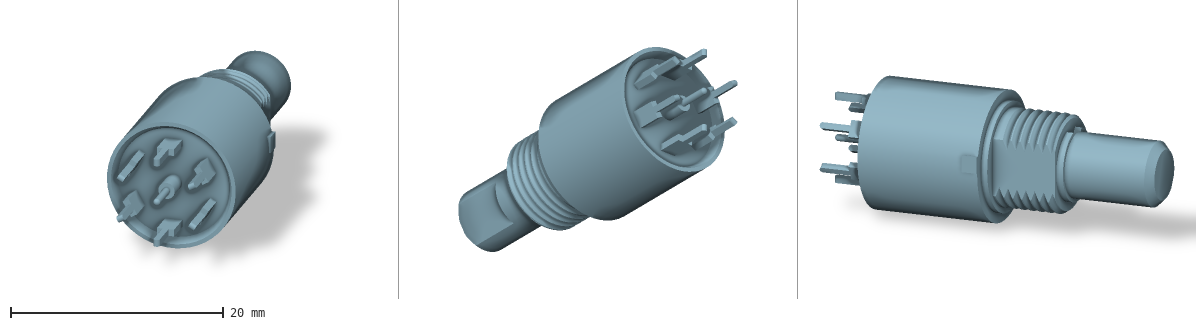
import cadquery as cq
import math


overall_length = 33.6

housing_radius = 6.35
housing_length = 12.23
recess_mouth_radius = 5.95
recess_floor_radius = 5.48
recess_depth = 0.77

tab_reach = 6.5
tab_height = 1.6
tab_length = 1.55
tab_embed = 0.67
tab_root = housing_radius - tab_embed

collar_radius = 5.35
collar_length = 0.6
bushing_radius = 4.77
bushing_length = 6.3
bushing_flat_distance = 3.85
bushing_chamfer = 0.35
bushing_front = collar_length + bushing_length

thread_pitch = 0.9
thread_depth = 0.47
thread_crest_width = 0.15
thread_start = 1.15
groove_overrun = 0.05
groove_turns = math.ceil((bushing_front - thread_start) / thread_pitch) + 1
blank_length = thread_start + (groove_turns + 1) * thread_pitch

ring_radius = 3.55
ring_thickness = 0.67
ring_gap_outer = 2.0
ring_gap_inner = 0.95
ring_groove_radius = 2.62

shaft_diameter = 6.35
shaft_radius = shaft_diameter / 2
shaft_exposed_length = 8.87
shaft_chamfer = 0.75
shaft_flat_distance = 2.35
shaft_flat_length = 6.3
shaft_flat_angle = 30
shaft_tip = bushing_front + ring_thickness + shaft_exposed_length

terminal_count = 6
terminal_circle_radius = 4.05
terminal_thickness = 0.67
blade_width = 1.68
blade_length = 1.85
terminal_tip_width = 0.6
terminal_reach = overall_length - housing_length - shaft_tip
terminal_tip_rise = 0.25

pin_base_radius = 0.8
pin_base_length = 1.55
pin_radius = 0.35
pin_tip_rise = 0.27

rear_rim = -housing_length
recess_floor = rear_rim + recess_depth
terminal_end = rear_rim - terminal_reach


def rod(radius, y_start, length):
    """Cylinder on the Y axis that runs from y_start toward +Y."""
    return cq.Workplane(cq.Solid.makeCylinder(radius, length, cq.Vector(0, y_start, 0), cq.Vector(0, 1, 0)))


def make_thread_groove():
    """Helical V groove around the Y axis; it starts and ends on the +X side, clear of the bushing flat."""
    root_radius = bushing_radius - thread_depth
    outside_radius = bushing_radius + groove_overrun
    crest_half_width = (thread_pitch - thread_crest_width) / 2
    half_width = crest_half_width * (thread_depth + groove_overrun) / thread_depth
    path = cq.Wire.makeHelix(thread_pitch, groove_turns * thread_pitch, root_radius)
    groove = (
        cq.Workplane("XZ")
        .moveTo(root_radius, 0)
        .lineTo(outside_radius, half_width)
        .lineTo(outside_radius, -half_width)
        .close()
        .sweep(cq.Workplane(path), isFrenet=True)
    )
    return groove.rotate((0, 0, 0), (1, 0, 0), -90).translate((0, thread_start, 0))


def make_bushing():
    """Threaded bushing with a chamfered front edge and a flat on its +X side."""
    flat_cut = cq.Workplane("XY").box(
        bushing_radius, blank_length, 2 * housing_radius, centered=(False, False, True)
    )
    blank = rod(bushing_radius, 0, blank_length)
    blank = blank.cut(flat_cut.translate((bushing_flat_distance, 0, 0)))
    threaded_blank = blank.cut(make_thread_groove())
    envelope = rod(bushing_radius, 0, bushing_front).faces(">Y").chamfer(bushing_chamfer)
    return threaded_blank.intersect(envelope)


def make_terminal():
    """Terminal at the top of the circle: a wide blade that steps down to a narrow, round-ended tip."""
    blade_end = rear_rim - blade_length
    tip_shoulder = terminal_end + terminal_tip_rise
    half_blade = blade_width / 2
    half_tip = terminal_tip_width / 2
    return (
        cq.Workplane("XY", origin=(0, 0, terminal_circle_radius - terminal_thickness / 2))
        .moveTo(-half_blade, recess_floor)
        .lineTo(-half_blade, blade_end)
        .lineTo(-half_tip, blade_end)
        .lineTo(-half_tip, tip_shoulder)
        .threePointArc((0, terminal_end), (half_tip, tip_shoulder))
        .lineTo(half_tip, blade_end)
        .lineTo(half_blade, blade_end)
        .lineTo(half_blade, recess_floor)
        .close()
        .extrude(terminal_thickness)
    )


def make_centre_pin():
    """Stepped round pin on the axis with a domed end."""
    base_end = rear_rim - pin_base_length
    dome_start = terminal_end + pin_tip_rise
    dome_radius = (pin_radius**2 + pin_tip_rise**2) / (2 * pin_tip_rise)
    half_angle = math.asin(pin_radius / dome_radius) / 2
    dome_middle = (
        dome_radius * math.sin(half_angle),
        terminal_end + dome_radius * (1 - math.cos(half_angle)),
    )
    return (
        cq.Workplane("XY")
        .moveTo(0, recess_floor)
        .lineTo(pin_base_radius, recess_floor)
        .lineTo(pin_base_radius, base_end)
        .lineTo(pin_radius, base_end)
        .lineTo(pin_radius, dome_start)
        .threePointArc(dome_middle, (0, terminal_end))
        .close()
        .revolve(360, (0, 0, 0), (0, 1, 0))
    )


def make_housing():
    """Housing with its collar, bushing, tab and terminals, bored for the shaft."""
    housing = rod(housing_radius, rear_rim, housing_length)
    recess = cq.Workplane(
        cq.Solid.makeCone(
            recess_mouth_radius,
            recess_floor_radius,
            recess_depth,
            cq.Vector(0, rear_rim, 0),
            cq.Vector(0, 1, 0),
        )
    )
    housing = housing.cut(recess)
    tab = cq.Workplane("XY").box(tab_reach - tab_root, tab_length, tab_height, centered=False)
    housing = housing.union(tab.translate((tab_root, -tab_length, 0)))
    housing = housing.union(rod(collar_radius, 0, collar_length))
    housing = housing.union(make_bushing())
    housing = housing.cut(rod(shaft_radius, 0, bushing_front))
    for index in range(terminal_count):
        angle = index * 360 / terminal_count
        housing = housing.union(make_terminal().rotate((0, 0, 0), (0, 1, 0), angle))
    return housing.union(make_centre_pin())


def make_shaft():
    """Shaft with a chamfered tip, a D flat and a groove for the retaining ring."""
    shaft = rod(shaft_radius, 0, shaft_tip).faces(">Y").chamfer(shaft_chamfer)
    flat_cut = cq.Workplane("XY").box(
        shaft_radius, shaft_flat_length, 2 * shaft_radius, centered=(False, False, True)
    )
    flat_cut = flat_cut.translate((-shaft_flat_distance - shaft_radius, shaft_tip - shaft_flat_length, 0))
    shaft = shaft.cut(flat_cut.rotate((0, 0, 0), (0, 1, 0), -shaft_flat_angle))
    groove = rod(ring_radius, bushing_front, ring_thickness)
    groove = groove.cut(rod(ring_groove_radius, bushing_front, ring_thickness))
    return shaft.cut(groove)


def make_retaining_ring():
    """Open ring in the shaft groove; its gap faces +Z and narrows inward."""
    ring = rod(ring_radius, bushing_front, ring_thickness)
    ring = ring.cut(rod(ring_groove_radius, bushing_front, ring_thickness))
    half_outer = ring_gap_outer / 2
    half_inner = ring_gap_inner / 2
    lip_outer = math.sqrt(ring_radius**2 - half_outer**2)
    lip_inner = math.sqrt(ring_groove_radius**2 - half_inner**2)
    gap = (
        cq.Workplane("XZ", origin=(0, bushing_front, 0))
        .moveTo(-half_inner, 0)
        .lineTo(-half_inner, lip_inner)
        .lineTo(-half_outer, lip_outer)
        .lineTo(-half_outer, ring_radius)
        .lineTo(half_outer, ring_radius)
        .lineTo(half_outer, lip_outer)
        .lineTo(half_inner, lip_inner)
        .lineTo(half_inner, 0)
        .close()
        .extrude(-ring_thickness)
    )
    return ring.cut(gap)


housing = make_housing().solids()
shaft = make_shaft().solids()
retaining_ring = make_retaining_ring().solids()

result = cq.Compound.makeCompound([housing.val(), shaft.val(), retaining_ring.val()])